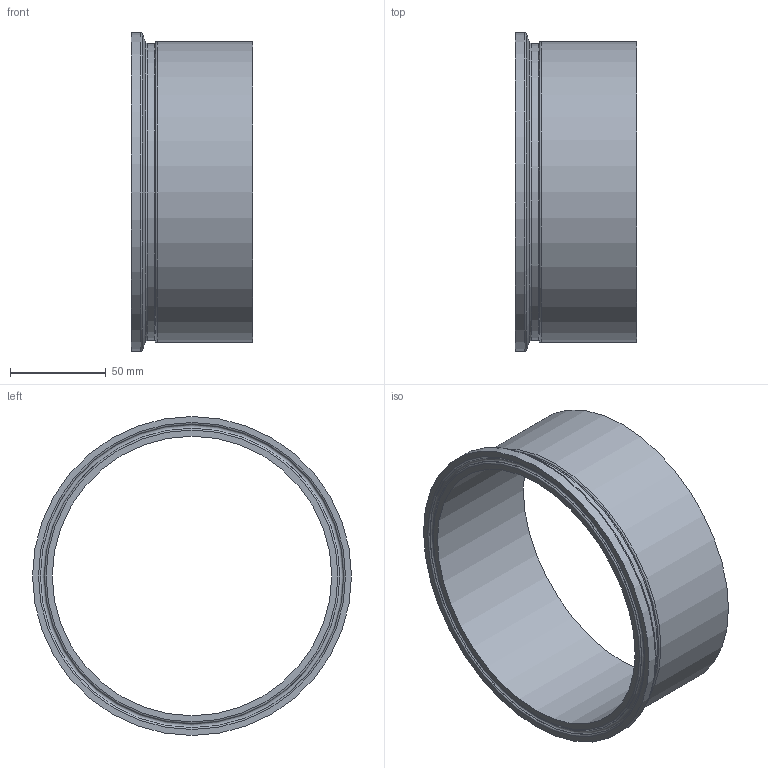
import cadquery as cq
import math

length = 63.5
bore_radius = 73.15
flange_radius = 83.5
neck_radius = 77.75
tube_radius = 78.8

face_angle = math.radians(20)
rim_width = 5.5
flange_round = 1.0
tube_shoulder_start = 12.4
shoulder_root_round = 0.5
shoulder_edge_round = 1.0

groove_radius = 78.38
groove_half_width = 1.3
groove_edge_round = 1.0
groove_bottom_round = 1.1

neck_start = rim_width + (flange_radius - neck_radius) * math.tan(face_angle)
tube_shoulder_end = tube_shoulder_start + (tube_radius - neck_radius) * math.tan(face_angle)
groove_apex_depth = groove_half_width / math.tan(face_angle)


def round_corner(before, corner, after, radius):
    """Return the start, middle and end of the arc that rounds a corner."""
    corner = cq.Vector(*corner)
    back = (cq.Vector(*before) - corner).normalized()
    ahead = (cq.Vector(*after) - corner).normalized()
    half_angle = back.getAngle(ahead) / 2
    tangent_length = radius / math.tan(half_angle)
    apex_gap = radius / math.sin(half_angle) - radius
    middle = corner + (back + ahead).normalized() * apex_gap
    return corner + back * tangent_length, middle, corner + ahead * tangent_length


def rounded_outline(corners):
    """Draw a closed outline from (x, y, round radius) corners; the first is sharp."""
    points = [(x, y) for x, y, _ in corners]
    outline = cq.Workplane("XY").moveTo(*points[0])
    for i in range(1, len(corners)):
        radius = corners[i][2]
        if radius == 0:
            outline = outline.lineTo(*points[i])
            continue
        following = points[(i + 1) % len(points)]
        start, middle, end = round_corner(points[i - 1], points[i], following, radius)
        outline = outline.lineTo(start.x, start.y)
        outline = outline.threePointArc((middle.x, middle.y), (end.x, end.y))
    return outline.close()


wall_section = rounded_outline([
    (0, bore_radius, 0),
    (0, groove_radius - groove_half_width, groove_edge_round),
    (groove_apex_depth, groove_radius, groove_bottom_round),
    (0, groove_radius + groove_half_width, groove_edge_round),
    (0, flange_radius, 0),
    (rim_width, flange_radius, flange_round),
    (neck_start, neck_radius, flange_round),
    (tube_shoulder_start, neck_radius, shoulder_root_round),
    (tube_shoulder_end, tube_radius, shoulder_edge_round),
    (length, tube_radius, 0),
    (length, bore_radius, 0),
])

result = wall_section.revolve(360, (0, 0, 0), (1, 0, 0))